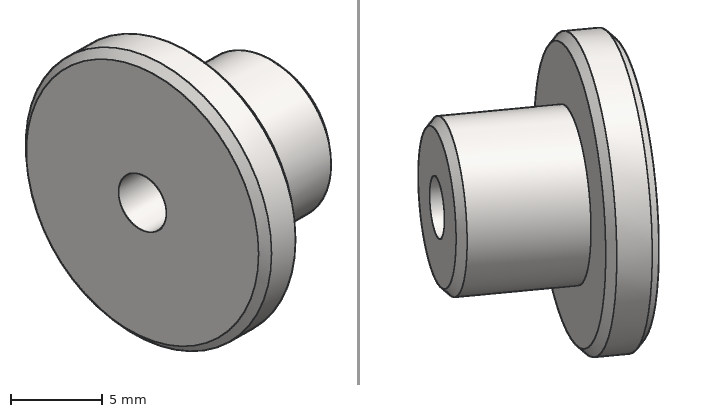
import cadquery as cq

flange_diameter = 18.0
flange_thickness = 3.0
boss_diameter = 10.0
total_length = 10.5
bore_diameter = 3.5
edge_chamfer = 0.5

boss_length = total_length - flange_thickness


def disc_along_y(diameter, start_y, length):
    """Solid cylinder centred on the Y axis, running toward +Y from start_y."""
    return cq.Workplane("XZ", origin=(0, start_y, 0)).circle(diameter / 2).extrude(-length)


flange = disc_along_y(flange_diameter, 0, flange_thickness).edges().chamfer(edge_chamfer)

boss = disc_along_y(boss_diameter, flange_thickness, boss_length).faces(">Y").edges().chamfer(edge_chamfer)

bore = disc_along_y(bore_diameter, 0, total_length)

result = flange.union(boss).cut(bore)